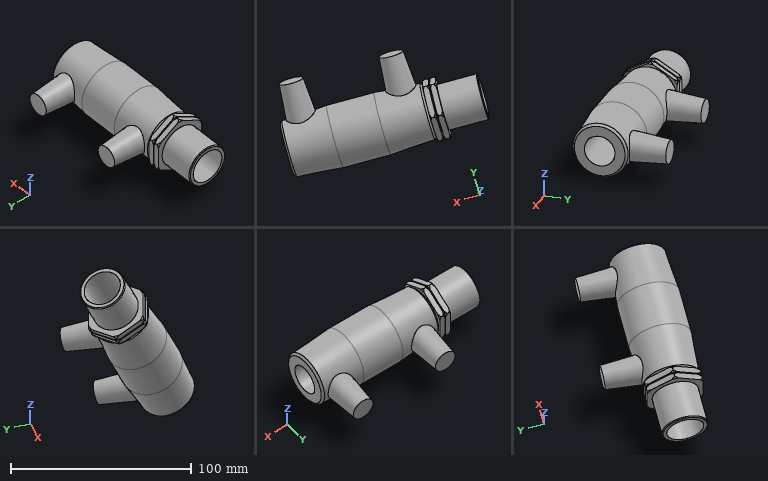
import cadquery as cq
import math

total_length = 113.0

spigot_radius = 26.4 / 2
spigot_chamfer = 0.6
inlet_bore_diameter = 21.1
through_bore_diameter = 18.0

nut_start = 23.2
nut_thickness = 3.5
nut_gap = 0.7
nut_across_flats = 32.1
nut_corner_radius = nut_across_flats / math.sqrt(3)
nut_chamfer = 1.0
nut_pitch = nut_thickness + nut_gap

body_start = nut_start + nut_pitch + nut_thickness
belly_start = 58.1
belly_end = 85.4
belly_radius = 18.02
body_end_radius = 16.3
body_chamfer = 1.4
shoulder_sag = 0.17

port_positions = (43.0, 100.6)
port_tip_y = 37.01
port_tip_radius = 14.0 / 2
port_length = 27.1
port_half_taper = 4.6


def make_spigot():
    length = body_start + body_chamfer
    spigot = cq.Workplane("YZ").circle(spigot_radius).extrude(length)
    return spigot.faces("<X").chamfer(spigot_chamfer)


def make_nut(start):
    """Hexagonal nut with two corners on the Z axis and conical chamfers on both faces."""
    hexagon = (
        cq.Workplane("YZ", origin=(start, 0, 0))
        .transformed(rotate=(0, 0, 90))
        .polygon(6, 2 * nut_corner_radius)
        .extrude(nut_thickness)
    )
    envelope = (
        cq.Workplane("YZ", origin=(start, 0, 0))
        .circle(nut_corner_radius)
        .extrude(nut_thickness)
        .faces("<X or >X")
        .chamfer(nut_chamfer)
    )
    return hexagon.intersect(envelope)


def make_body():
    """Revolve the half outline of the body about the X axis."""
    face_radius = body_end_radius - body_chamfer
    left_shoulder = body_start + body_chamfer
    right_shoulder = total_length - body_chamfer
    middle_radius = (body_end_radius + belly_radius) / 2 - shoulder_sag
    left_middle = ((left_shoulder + belly_start) / 2, middle_radius)
    right_middle = ((belly_end + right_shoulder) / 2, middle_radius)
    return (
        cq.Workplane("XY")
        .moveTo(body_start, 0)
        .lineTo(body_start, face_radius)
        .lineTo(left_shoulder, body_end_radius)
        .threePointArc(left_middle, (belly_start, belly_radius))
        .lineTo(belly_end, belly_radius)
        .threePointArc(right_middle, (right_shoulder, body_end_radius))
        .lineTo(total_length, face_radius)
        .lineTo(total_length, 0)
        .close()
        .revolve(360, (0, 0, 0), (1, 0, 0))
    )


def make_port(x_position):
    """Cone that widens from its tip towards the body."""
    root_radius = port_tip_radius + port_length * math.tan(math.radians(port_half_taper))
    cone = cq.Solid.makeCone(
        port_tip_radius,
        root_radius,
        port_length,
        pnt=cq.Vector(x_position, port_tip_y, 0),
        dir=cq.Vector(0, -1, 0),
    )
    return cq.Workplane(obj=cone)


result = make_spigot().union(make_body())
for nut_index in range(2):
    result = result.union(make_nut(nut_start + nut_index * nut_pitch))
for port_position in port_positions:
    result = result.union(make_port(port_position))

through_bore = cq.Workplane("YZ").circle(through_bore_diameter / 2).extrude(total_length)
inlet_bore = cq.Workplane("YZ").circle(inlet_bore_diameter / 2).extrude(body_start)
result = result.cut(through_bore).cut(inlet_bore)